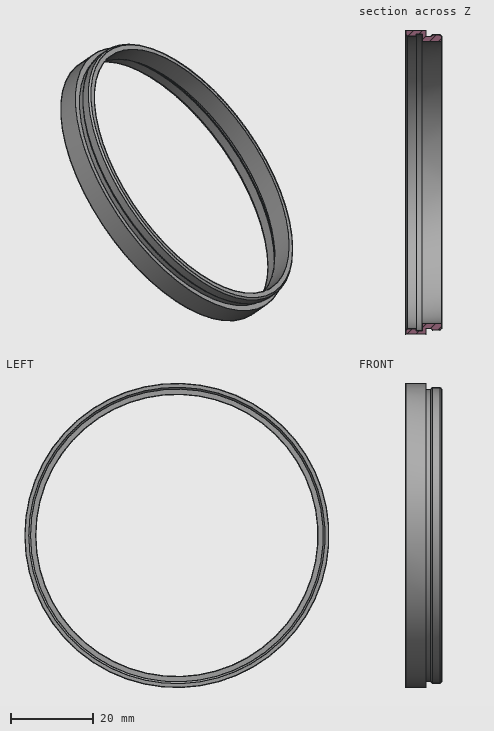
import cadquery as cq

total_length = 8.8
flange_length = 4.95
neck_length = 1.1
socket_depth = 4.0
socket_relief_width = 1.4

flange_diameter = 74.0
neck_diameter = 71.1
spigot_diameter = 72.0

bore_diameter = 68.6
socket_diameter = 71.2
socket_relief_diameter = 72.1

neck_chamfer = (spigot_diameter - neck_diameter) / 2
end_chamfer = 0.45
socket_chamfer = (socket_relief_diameter - socket_diameter) / 2

flange_radius = flange_diameter / 2
neck_radius = neck_diameter / 2
spigot_radius = spigot_diameter / 2
bore_radius = bore_diameter / 2
socket_radius = socket_diameter / 2
socket_relief_radius = socket_relief_diameter / 2

neck_end = flange_length + neck_length
socket_relief_start = socket_depth - socket_relief_width

outside_profile = [
    (0, flange_radius),
    (flange_length, flange_radius),
    (flange_length, neck_radius),
    (neck_end, neck_radius),
    (neck_end + neck_chamfer, spigot_radius),
    (total_length - end_chamfer, spigot_radius),
    (total_length, spigot_radius - end_chamfer),
]
inside_profile = [
    (total_length, bore_radius),
    (socket_depth, bore_radius),
    (socket_depth, socket_relief_radius),
    (socket_relief_start, socket_relief_radius),
    (socket_relief_start, socket_radius),
    (socket_chamfer, socket_radius),
    (0, socket_radius + socket_chamfer),
]

result = (
    cq.Workplane("XY")
    .polyline(outside_profile + inside_profile)
    .close()
    .revolve(360, (0, 0, 0), (1, 0, 0))
)